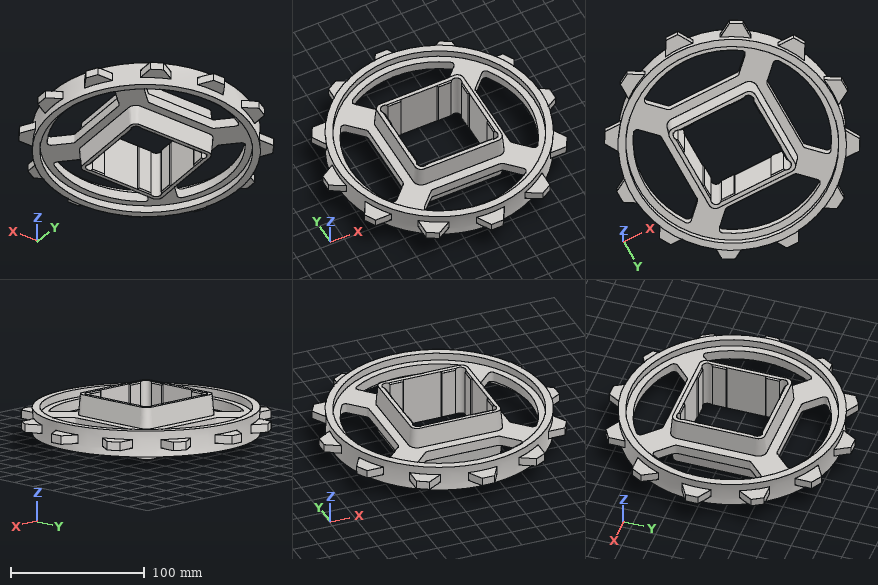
import cadquery as cq
import math


rim_height = 20.0
rim_edge_radius = 85.3
rim_waist_radius = 84.6
rim_bore_radius = 79.5

tooth_count = 12
tooth_tip_radius = 95.3
tooth_tip_width = 10.0
tooth_thickness = 6.5
tooth_flank_angle = 30.0
tooth_root_radius = 82.0

web_thickness = 8.0
window_arc_radius = 74.0
window_inner_offset = 45.0
spoke_width = 22.0
window_corner_radius = 3.0
window_count = 4

hub_height = 40.0
hub_base_width = 75.4
hub_base_corner_radius = 6.6
hub_draft = 5.0

bore_width = 66.0
wall_count = 4
relief_radius = 4.0
relief_offset = 29.6

pad_height = 1.0
pad_inner_end = 15.8
pad_end_slope = 0.6
pad_chamfer = 1.0


def make_rim():
    half = rim_height / 2
    profile = (
        cq.Workplane("XZ")
        .moveTo(rim_bore_radius, -half)
        .lineTo(rim_edge_radius, -half)
        .threePointArc((rim_waist_radius, 0), (rim_edge_radius, half))
        .lineTo(rim_bore_radius, half)
        .close()
    )
    return profile.revolve(360, (0, 0, 0), (0, 1, 0))


def make_tooth():
    tip_half = tooth_tip_width / 2
    flank_spread = (tooth_tip_radius - tooth_root_radius) * math.tan(math.radians(tooth_flank_angle))
    root_half = tip_half + flank_spread
    outline = [
        (tooth_root_radius, -root_half),
        (tooth_tip_radius, -tip_half),
        (tooth_tip_radius, tip_half),
        (tooth_root_radius, root_half),
    ]
    return cq.Workplane("XY").polyline(outline).close().extrude(tooth_thickness / 2, both=True)


def make_window():
    """Opening on the +X side, between two spokes."""
    edge_shift = spoke_width / 2 * math.sqrt(2)
    inner_y = window_inner_offset - edge_shift
    outer_x = (edge_shift + math.sqrt(2 * window_arc_radius**2 - edge_shift**2)) / 2
    outer_y = outer_x - edge_shift
    return (
        cq.Workplane("XY")
        .moveTo(window_inner_offset, -inner_y)
        .lineTo(outer_x, -outer_y)
        .threePointArc((window_arc_radius, 0), (outer_x, outer_y))
        .lineTo(window_inner_offset, inner_y)
        .close()
        .extrude(web_thickness / 2, both=True)
        .edges("|Z")
        .fillet(window_corner_radius)
    )


def make_web():
    disc_radius = (rim_bore_radius + rim_waist_radius) / 2
    web = cq.Workplane("XY").circle(disc_radius).extrude(web_thickness / 2, both=True)
    window = make_window()
    for index in range(window_count):
        web = web.cut(window.rotate((0, 0, 0), (0, 0, 1), index * 360 / window_count))
    return web


def make_hub():
    half_web = web_thickness / 2
    outline = cq.Sketch().rect(hub_base_width, hub_base_width).vertices().fillet(hub_base_corner_radius)
    upper = (
        cq.Workplane("XY", origin=(0, 0, half_web))
        .placeSketch(outline)
        .extrude(hub_height / 2 - half_web, taper=hub_draft)
    )
    return upper.union(upper.mirror("XY"))


def make_pad():
    """Pad on the +X bore wall, on the +Y half, sloping down to the wall at its three free ends."""
    wall = bore_width / 2
    face = wall - pad_height
    half = hub_height / 2
    outer_end = relief_offset
    body = (
        cq.Workplane("XY")
        .polyline([
            (wall, pad_inner_end - pad_end_slope),
            (face, pad_inner_end),
            (face, outer_end),
            (wall, outer_end),
        ])
        .close()
        .extrude(half, both=True)
    )
    side = (
        cq.Workplane("XZ")
        .polyline([(wall, -half), (face, pad_chamfer - half), (face, half - pad_chamfer), (wall, half)])
        .close()
        .extrude(-outer_end)
    )
    return body.intersect(side)


def make_bore():
    bore = cq.Workplane("XY").rect(bore_width, bore_width).extrude(hub_height / 2, both=True)
    pad = make_pad()
    for pad_shape in (pad, pad.mirror("XZ")):
        for index in range(wall_count):
            bore = bore.cut(pad_shape.rotate((0, 0, 0), (0, 0, 1), index * 360 / wall_count))
    corner = bore_width / 2 - relief_offset
    corner_centre = relief_offset + corner / 2
    corners = (
        cq.Workplane("XY")
        .rect(2 * corner_centre, 2 * corner_centre, forConstruction=True)
        .vertices()
        .rect(corner, corner)
        .extrude(hub_height / 2, both=True)
    )
    reliefs = (
        cq.Workplane("XY")
        .rect(2 * relief_offset, 2 * relief_offset, forConstruction=True)
        .vertices()
        .circle(relief_radius)
        .extrude(hub_height / 2, both=True)
    )
    return bore.cut(corners).union(reliefs)


result = make_rim().union(make_web()).union(make_hub())
tooth = make_tooth()
for tooth_index in range(tooth_count):
    result = result.union(tooth.rotate((0, 0, 0), (0, 0, 1), tooth_index * 360 / tooth_count))
result = result.cut(make_bore())